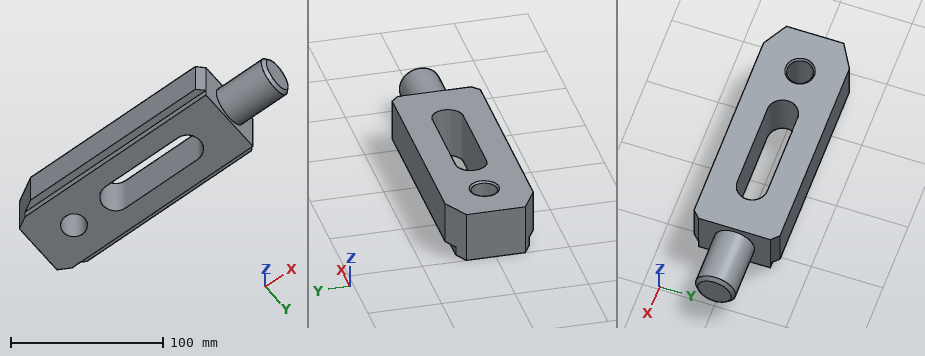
import cadquery as cq
import math

total_length = 200.0
pin_length = 40.0
body_length = total_length - pin_length
body_width = 60.0
body_height = 35.0
nose_inset = 10.0
nose_angle = 30.0
nose_length = nose_inset / math.tan(math.radians(nose_angle))
tail_chamfer = 5.0

step_depth = 5.0
step_height = 6.0

pin_diameter = 28.0
pin_chamfer = 2.5

hole_x = 30.0
hole_diameter = 17.5
hole_mouth_diameter = 20.0
hole_chamfer = (hole_mouth_diameter - hole_diameter) / 2
slot_start = 54.5
slot_width = 21.0
slot_length = 81.0


def make_body():
    """Bar with a tapered nose and small chamfers at the tail corners."""
    half = body_width / 2
    upper_side = [
        (0, half - nose_inset),
        (nose_length, half),
        (body_length - tail_chamfer, half),
        (body_length, half - tail_chamfer),
    ]
    lower_side = [(x, -y) for x, y in reversed(upper_side)]
    return cq.Workplane("XY").polyline(upper_side + lower_side).close().extrude(body_height)


def make_side_step(side):
    """Material removed from one lower edge; side is +1 or -1 along Y."""
    center_y = side * (body_width - step_depth) / 2
    return (
        cq.Workplane("XY")
        .center(body_length / 2, center_y)
        .rect(body_length, step_depth)
        .extrude(step_height)
    )


def make_pin():
    """Cylindrical pin at mid height, chamfered at its free end."""
    return (
        cq.Workplane("YZ", origin=(body_length, 0, body_height / 2))
        .circle(pin_diameter / 2)
        .extrude(pin_length)
        .faces(">X")
        .chamfer(pin_chamfer)
    )


def make_hole():
    """Through hole with a countersunk upper mouth."""
    radius = hole_diameter / 2
    mouth_radius = hole_mouth_diameter / 2
    profile = [
        (0, 0),
        (radius, 0),
        (radius, body_height - hole_chamfer),
        (mouth_radius, body_height),
        (0, body_height),
    ]
    return (
        cq.Workplane("XZ")
        .polyline(profile)
        .close()
        .revolve(360, (0, 0), (0, 1))
        .translate((hole_x, 0, 0))
    )


def make_slot():
    """Round-ended slot through the full height."""
    return (
        cq.Workplane("XY")
        .center(slot_start + slot_length / 2, 0)
        .slot2D(slot_length, slot_width)
        .extrude(body_height)
    )


result = make_body()
for side in (1, -1):
    result = result.cut(make_side_step(side))
result = result.union(make_pin()).cut(make_hole()).cut(make_slot())